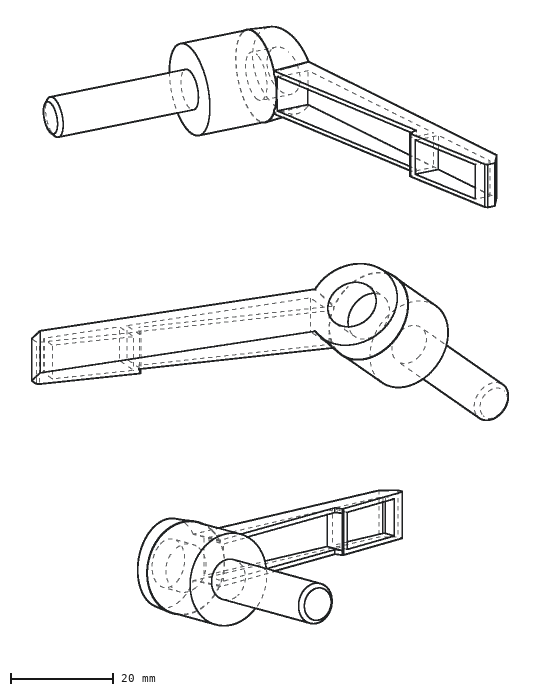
import cadquery as cq
import math

stud_diameter = 8.0
stud_length = 30.0
stud_chamfer = 0.8

hub_diameter = 18.3
hub_height = 14.3
head_diameter = 18.5
head_taper = 4.4
head_radius = head_diameter / 2
bore_diameter = 9.6

lever_width = 9.2
top_angle = 14.8
tip_top_x = 61.8
tip_top_y = 36.5
tip_end_x = 74.25 - head_radius
tip_end_y = 34.6
tip_lower_y = 33.05
tip_chamfer_x = 64.6
tip_chamfer_y = 32.6
root_top_x = 7.35
root_x = 8.2
root_y = 14.2
notch_inner_x = 44.85
notch_inner_y = 27.3
grip_x = 45.8
notch_tip_x = 45.45
grip_y = 25.7

pocket_width = 7.35
long_pocket_start = 9.1
long_pocket_end = notch_tip_x
grip_pocket_start = 46.9
grip_pocket_end = 62.15
grip_pocket_bevel = 0.4
pocket_roof = 1.5


def top_y(x):
    """Height of the sloping upper edge at x."""
    return tip_top_y + (x - tip_top_x) * math.tan(math.radians(top_angle))


def prism(points, width):
    """Extrude an XY outline symmetrically about Z = 0."""
    return cq.Workplane("XY").polyline(points).close().extrude(width / 2, both=True)


def cylinder(diameter, start_y, end_y):
    """Solid cylinder on the Y axis."""
    start = cq.Workplane("XZ", origin=(0, start_y, 0))
    return start.circle(diameter / 2).extrude(start_y - end_y)


def make_stud():
    stud = cylinder(stud_diameter, -stud_length, hub_height)
    return stud.faces("<Y").chamfer(stud_chamfer)


def make_head():
    cone_top = top_y(head_radius)
    taper_inset = (cone_top - hub_height) * math.tan(math.radians(head_taper))
    cone = (
        cq.Workplane("XY")
        .polyline([
            (0, hub_height),
            (head_radius, hub_height),
            (head_radius - taper_inset, cone_top),
            (0, cone_top),
        ])
        .close()
        .revolve(360, (0, 0), (0, 1))
    )
    below_slope = prism([
        (-head_radius, hub_height),
        (head_radius, hub_height),
        (head_radius, top_y(head_radius)),
        (-head_radius, top_y(-head_radius)),
    ], head_diameter)
    return cone.intersect(below_slope)


def make_lever():
    return prism([
        (root_x, root_y),
        (notch_inner_x, notch_inner_y),
        (notch_tip_x, grip_y),
        (grip_x, grip_y),
        (tip_chamfer_x, tip_chamfer_y),
        (tip_end_x, tip_lower_y),
        (tip_end_x, tip_end_y),
        (tip_top_x, tip_top_y),
        (root_top_x, top_y(root_top_x)),
    ], lever_width)


def make_pocket(start_x, end_x, end_bevel=0):
    """Pocket open toward -Y, its floor parallel to the upper edge."""
    floor_end_x = end_x - end_bevel
    floor_end_y = top_y(floor_end_x) - pocket_roof
    outline = [
        (start_x, 0),
        (end_x, 0),
        (floor_end_x, floor_end_y),
        (start_x, top_y(start_x) - pocket_roof),
    ]
    if end_bevel:
        bevel_slope = (tip_end_y - tip_top_y) / (tip_end_x - tip_top_x)
        outline.insert(2, (end_x, floor_end_y + bevel_slope * end_bevel))
    return prism(outline, pocket_width)


lever = make_lever()
lever = lever.cut(make_pocket(long_pocket_start, long_pocket_end))
lever = lever.cut(make_pocket(grip_pocket_start, grip_pocket_end, grip_pocket_bevel))
hub = cylinder(hub_diameter, 0, hub_height)
bore = cylinder(bore_diameter, hub_height, tip_top_y)

result = make_head().union(lever).cut(bore).union(hub).union(make_stud())